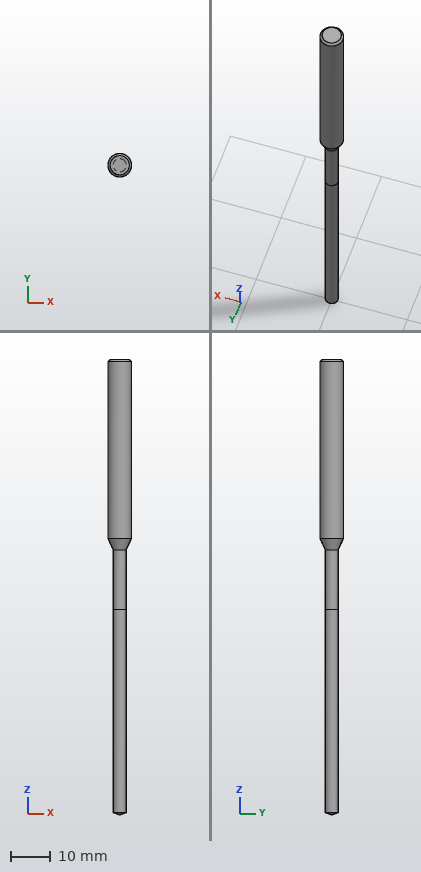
import cadquery as cq
import math

total_length = 114.6
shank_radius = 6.0 / 2
drill_radius = 3.3 / 2

shank_length = 45.0
neck_start = 47.9
cutter_start = 62.9

chamfer_size = 0.6
point_angle = 140.0

shank_bottom = total_length - shank_length
neck_top = total_length - neck_start
joint_height = total_length - cutter_start
point_height = drill_radius / math.tan(math.radians(point_angle / 2))


def revolve_profile(points):
    """Turn a closed (radius, height) outline about the Z axis."""
    return cq.Workplane("XZ").polyline(points).close().revolve(360, (0, 0), (0, 1))


def make_holder():
    """Chamfered shank, tapering to a slim neck that ends flat at the joint."""
    return revolve_profile([
        (0, joint_height),
        (drill_radius, joint_height),
        (drill_radius, neck_top),
        (shank_radius, shank_bottom),
        (shank_radius, total_length - chamfer_size),
        (shank_radius - chamfer_size, total_length),
        (0, total_length),
    ])


def make_cutter():
    """Straight cutting length with a conical point, butted against the neck."""
    return revolve_profile([
        (0, 0),
        (drill_radius, point_height),
        (drill_radius, joint_height),
        (0, joint_height),
    ])


holder = make_holder()
cutter = make_cutter()

result = cq.Compound.makeCompound([holder.val(), cutter.val()])